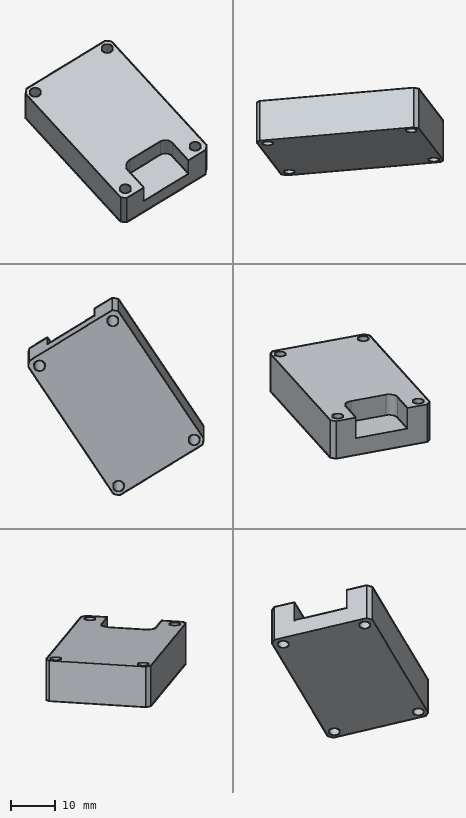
import cadquery as cq

length = 37.7
width = 24.15
height = 9.5
corner_chamfer = 0.98

hole_diameter = 2.5
left_hole_inset = 2.0
left_hole_spacing = 20.2
right_hole_inset = 2.22
right_hole_spacing = 19.6

notch_length = 8.0
notch_width = 12.5
notch_depth = 5.2
notch_corner_radius = 2.0


def make_block():
    block = cq.Workplane("XY").box(length, width, height, centered=(True, True, False))
    return block.edges("|Z").chamfer(corner_chamfer)


def make_hole_pair(x, spacing):
    centers = [(x, -spacing / 2), (x, spacing / 2)]
    return cq.Workplane("XY").pushPoints(centers).circle(hole_diameter / 2).extrude(height)


def make_notch():
    """Rectangular cutter with its two inner vertical edges rounded."""
    cutter = cq.Workplane("XY").box(notch_length, notch_width, notch_depth, centered=(False, True, False))
    cutter = cutter.edges("|Z and <X").fillet(notch_corner_radius)
    return cutter.translate((length / 2 - notch_length, 0, height - notch_depth))


left_holes = make_hole_pair(-length / 2 + left_hole_inset, left_hole_spacing)
right_holes = make_hole_pair(length / 2 - right_hole_inset, right_hole_spacing)

result = make_block().cut(left_holes).cut(right_holes).cut(make_notch())